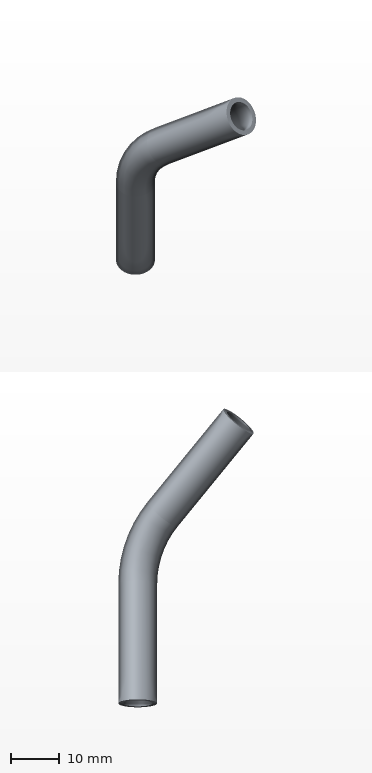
import cadquery as cq
import math

overall_height = 59.7
outer_diameter = 8.0
bore_diameter = 6.0
bend_radius = 20.0
bend_angle = 45.0

sin_bend = math.sin(math.radians(bend_angle))
cos_bend = math.cos(math.radians(bend_angle))
bend_rise = bend_radius * sin_bend
end_face_rise = outer_diameter / 2 * sin_bend
leg_length = (overall_height - bend_rise - end_face_rise) / (1 + cos_bend)


def point_on_bend(angle):
    """Centreline point after the tube has turned by the given angle in degrees."""
    turn = math.radians(angle)
    x = bend_radius * (1 - math.cos(turn))
    z = leg_length + bend_radius * math.sin(turn)
    return x, z


bend_end_x, bend_end_z = point_on_bend(bend_angle)
upper_end = (bend_end_x + leg_length * sin_bend, bend_end_z + leg_length * cos_bend)
centreline = (
    cq.Workplane("XZ")
    .lineTo(0, leg_length)
    .threePointArc(point_on_bend(bend_angle / 2), (bend_end_x, bend_end_z))
    .lineTo(*upper_end)
)

ring = cq.Workplane("XY").circle(outer_diameter / 2).circle(bore_diameter / 2)
result = ring.sweep(centreline)